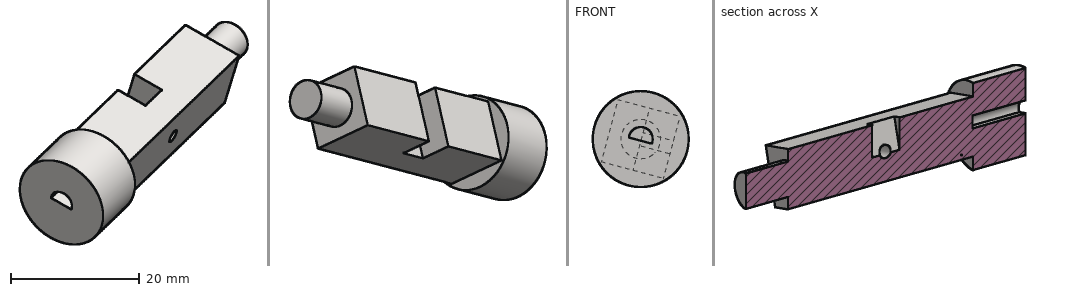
import cadquery as cq

head_diameter = 15.0
head_length = 10.0
body_side = 10.0
body_length = 35.0
tail_diameter = 6.15
tail_length = 8.0
roll_angle = 15.0

slot_width = 5.1
slot_depth = 5.1
slot_to_tail = 16.0

cross_hole_diameter = 2.1
cross_hole_offset = 0.1

socket_diameter = 3.75
socket_depth = 10.0
socket_flat_offset = 0.25

body_end = head_length + body_length
slot_middle = body_end - slot_to_tail - slot_width / 2
slot_floor = -body_side / 2 + slot_depth
cross_hole_y = slot_middle + cross_hole_offset


def cylinder_along_y(diameter, start, length):
    """Cylinder on the part's axis, from y = start toward +Y."""
    plane = cq.Workplane("XZ", origin=(0, start, 0))
    return plane.circle(diameter / 2).extrude(-length)


def square_body():
    middle = head_length + body_length / 2
    return cq.Workplane("XY").box(body_side, body_length, body_side).translate((0, middle, 0))


def side_slot():
    """Slot across the full -X side of the body."""
    slot = cq.Workplane("XY").box(slot_depth, slot_width, body_side)
    return slot.translate((slot_floor - slot_depth / 2, slot_middle, 0))


def cross_hole():
    """Hole from the slot floor out through the +X side."""
    plane = cq.Workplane("YZ", origin=(slot_floor, cross_hole_y, 0))
    return plane.circle(cross_hole_diameter / 2).extrude(body_side / 2 - slot_floor)


def d_socket():
    """Blind D-shaped socket in the head, with its flat at the bottom."""
    bore = cylinder_along_y(socket_diameter, 0, socket_depth)
    below_flat = cq.Workplane("XY").box(
        socket_diameter, socket_depth, socket_diameter, centered=(True, False, False)
    )
    return bore.cut(below_flat.translate((0, 0, -socket_flat_offset - socket_diameter)))


head = cylinder_along_y(head_diameter, 0, head_length)
tail = cylinder_along_y(tail_diameter, body_end, tail_length)

part = square_body().union(head).union(tail)
part = part.cut(side_slot()).cut(cross_hole()).cut(d_socket())

result = part.rotate((0, 0, 0), (0, 1, 0), roll_angle)